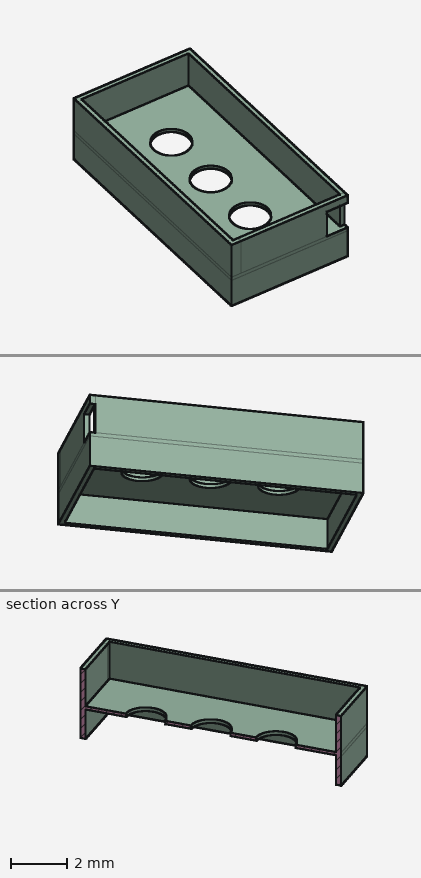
import cadquery as cq

LENGTH = 10.0
WIDTH = 5.0
HEIGHT = 2.8
WALL = 0.2

FLOOR_BOTTOM = 1.175
FLOOR_THICKNESS = 0.15
FLOOR_TOP = FLOOR_BOTTOM + FLOOR_THICKNESS

HOLE_DIAMETER = 1.5
HOLE_PITCH = 2.5
HOLE_COUNT = 3

PANEL_START_Y = -2.1
PANEL_WIDTH = WIDTH / 2 - PANEL_START_Y

WINDOW_START_Y = 1.6
WINDOW_WIDTH = WIDTH / 2 - WINDOW_START_Y
WINDOW_TOP = 2.45


def frame(bottom, top):
    """Rectangular ring of walls between two levels."""
    return (
        cq.Workplane("XY", origin=(0, 0, bottom))
        .rect(LENGTH, WIDTH)
        .rect(LENGTH - 2 * WALL, WIDTH - 2 * WALL)
        .extrude(top - bottom)
    )


def end_block(start_y, width, top):
    """Block one wall thick in the +X wall, standing on the floor."""
    return cq.Workplane("XY").box(WALL, width, top - FLOOR_TOP, centered=False).translate(
        (LENGTH / 2 - WALL, start_y, FLOOR_TOP)
    )


def floor_slab():
    """Full-size slab with a row of through holes along X."""
    slab = cq.Workplane("XY", origin=(0, 0, FLOOR_BOTTOM)).rect(LENGTH, WIDTH).extrude(FLOOR_THICKNESS)
    return slab.faces(">Z").workplane().rarray(HOLE_PITCH, HOLE_PITCH, HOLE_COUNT, 1).hole(HOLE_DIAMETER)


def upper_walls():
    """Upper wall ring with the end panel and its corner window."""
    panel_space = end_block(PANEL_START_Y, PANEL_WIDTH, HEIGHT)
    window = end_block(WINDOW_START_Y, WINDOW_WIDTH, WINDOW_TOP)
    panel = panel_space.cut(window)
    walls = frame(FLOOR_TOP, HEIGHT).cut(panel_space)
    return walls.union(panel, clean=False)


result = floor_slab().union(frame(0, FLOOR_BOTTOM), clean=False).union(upper_walls(), clean=False)